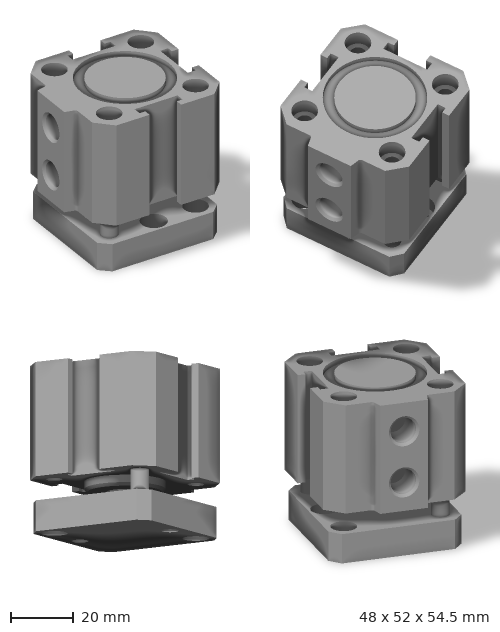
import cadquery as cq
import math

total_height = 54.5
plate_thickness = 10.05
housing_height = 37.0
housing_bottom = total_height - housing_height

housing_size = 48.0
housing_half = housing_size / 2
corner_chamfer_x = 5.65
corner_chamfer_y = 5.5

side_slot_opening = 11.9
side_slot_width = 16.2
slot_depth = 5.5
rear_slot_opening = 12.0
rear_slot_width = 16.4
slot_lip = 2.55

boss_height = 4.0
boss_tip_width = 16.0
boss_taper = math.radians(15)
boss_root_radius = 1.0
boss_face_y = -housing_half - boss_height
port_diameter = 8.55
port_rim_diameter = 10.25
port_depth = 10.9
port_end_distance = 9.75

corner_offset = 16.3
counterbore_diameter = 8.5
counterbore_depth = 5.5
bolt_hole_diameter = 5.3

recess_diameter = 33.3
cap_diameter = 26.0
recess_depth = 1.85

collar_height = 3.4
collar_chamfer = 1.0
rod_diameter = 12.0
rod_end_chamfer = 0.5
rod_flat_distance = 10.05
rod_flat_height = 2.8

plate_size_x = 44.9
plate_size_y = 45.25
plate_chamfer_x = 3.3
plate_chamfer_y = 3.6
guide_rod_diameter = 6.0
access_hole_diameter = 8.5
plate_bolt_offset = 17.1
plate_bolt_diameter = 5.5
plate_counterbore_diameter = 9.0
plate_counterbore_depth = 5.5

CORNERS = [(x, y) for x in (-corner_offset, corner_offset) for y in (-corner_offset, corner_offset)]
GUIDE_ROD_CORNERS = [(x, y) for x, y in CORNERS if x * y < 0]
ACCESS_CORNERS = [(x, y) for x, y in CORNERS if x * y > 0]


def chamfered_block(size_x, size_y, chamfer_x, chamfer_y, height):
    """Block standing on Z = 0, centred on the Z axis, with its four vertical edges cut off."""
    half_x = size_x / 2
    half_y = size_y / 2
    outline = [
        (half_x, half_y - chamfer_y),
        (half_x - chamfer_x, half_y),
        (chamfer_x - half_x, half_y),
        (-half_x, half_y - chamfer_y),
        (-half_x, chamfer_y - half_y),
        (chamfer_x - half_x, -half_y),
        (half_x - chamfer_x, -half_y),
        (half_x, chamfer_y - half_y),
    ]
    return cq.Workplane("XY").polyline(outline).close().extrude(height)


def cylinder(diameter, bottom, height, places=((0, 0),)):
    """Upright cylinders from the height `bottom` upwards, one at each place."""
    return cq.Workplane("XY", (0, 0, bottom)).pushPoints(places).circle(diameter / 2).extrude(height)


def t_slot(opening, width, angle):
    """Cutter for a full-height T-slot in the +Y face, turned about the Z axis by `angle` degrees."""
    outline = [
        (opening / 2, housing_half),
        (opening / 2, housing_half - slot_lip),
        (width / 2, housing_half - slot_lip),
        (width / 2, housing_half - slot_depth),
        (-width / 2, housing_half - slot_depth),
        (-width / 2, housing_half - slot_lip),
        (-opening / 2, housing_half - slot_lip),
        (-opening / 2, housing_half),
    ]
    slot = cq.Workplane("XY", (0, 0, housing_bottom)).polyline(outline).close().extrude(housing_height)
    return slot.rotate((0, 0, 0), (0, 0, 1), angle)


def port_boss():
    """Full-height tapered boss on the -Y face, with rounded inner corners at its root."""
    tip_half = boss_tip_width / 2
    root_half = tip_half + boss_height * math.tan(boss_taper)
    side_turn = math.pi / 2 - boss_taper
    tangent = boss_root_radius * math.tan(side_turn / 2)
    root_x = root_half + tangent
    root_y = -housing_half
    centre_y = root_y - boss_root_radius
    end_x = root_x - boss_root_radius * math.sin(side_turn)
    end_y = centre_y + boss_root_radius * math.cos(side_turn)
    middle_x = root_x - boss_root_radius * math.sin(side_turn / 2)
    middle_y = centre_y + boss_root_radius * math.cos(side_turn / 2)
    return (
        cq.Workplane("XY", (0, 0, housing_bottom))
        .moveTo(-root_x, root_y)
        .threePointArc((-middle_x, middle_y), (-end_x, end_y))
        .lineTo(-tip_half, boss_face_y)
        .lineTo(tip_half, boss_face_y)
        .lineTo(end_x, end_y)
        .threePointArc((middle_x, middle_y), (root_x, root_y))
        .close()
        .extrude(housing_height)
    )


def port(height):
    """Cutter for a flat-bottomed port with a 45 degree rim, drilled into the boss face along +Y."""
    radius = port_diameter / 2
    rim_radius = port_rim_diameter / 2
    profile = [
        (0, boss_face_y),
        (rim_radius, boss_face_y),
        (radius, boss_face_y + rim_radius - radius),
        (radius, boss_face_y + port_depth),
        (0, boss_face_y + port_depth),
    ]
    cutter = cq.Workplane("XY").polyline(profile).close().revolve(360, (0, 0, 0), (0, 1, 0))
    return cutter.translate((0, 0, height))


def mounting_holes():
    """Cutter for the counterbored through holes in the four housing corners."""
    holes = cylinder(bolt_hole_diameter, housing_bottom, housing_height, CORNERS)
    counterbores = cylinder(
        counterbore_diameter, total_height - counterbore_depth, counterbore_depth, CORNERS
    )
    return holes.union(counterbores)


def cap_recess():
    """Cutter for the ring-shaped recess that leaves the cap level with the top face."""
    floor = total_height - recess_depth
    ring = cylinder(recess_diameter, floor, recess_depth)
    return ring.cut(cylinder(cap_diameter, floor, recess_depth))


def collar():
    """Disc under the housing, chamfered around its lower edge."""
    disc = cylinder(cap_diameter, housing_bottom - collar_height, collar_height)
    return disc.faces("<Z").chamfer(collar_chamfer)


def piston_rod():
    """Rod from the collar to the plate, with a chamfered end and two wrench flats facing X."""
    rod_length = housing_bottom - collar_height - plate_thickness
    rod = cylinder(rod_diameter, plate_thickness, rod_length).faces("<Z").chamfer(rod_end_chamfer)
    flat_zone = cylinder(rod_diameter, plate_thickness, rod_flat_height)
    kept_core = cq.Workplane("XY", (0, 0, plate_thickness)).rect(rod_flat_distance, rod_diameter)
    return rod.cut(flat_zone.cut(kept_core.extrude(rod_flat_height)))


def make_housing():
    """Cylinder housing in one piece with its collar and piston rod."""
    block = chamfered_block(
        housing_size, housing_size, corner_chamfer_x, corner_chamfer_y, housing_height
    )
    body = block.translate((0, 0, housing_bottom)).union(port_boss())
    body = body.cut(t_slot(rear_slot_opening, rear_slot_width, 0))
    for angle in (90, -90):
        body = body.cut(t_slot(side_slot_opening, side_slot_width, angle))
    for height in (housing_bottom + port_end_distance, total_height - port_end_distance):
        body = body.cut(port(height))
    body = body.cut(mounting_holes()).cut(cap_recess())
    return body.union(collar()).union(piston_rod())


def make_guide_plate():
    """Plate with two guide rods that reach the housing at opposite corners."""
    plate = chamfered_block(
        plate_size_x, plate_size_y, plate_chamfer_x, plate_chamfer_y, plate_thickness
    )
    plate = plate.cut(cylinder(access_hole_diameter, 0, plate_thickness, ACCESS_CORNERS))
    bolt_places = [(-plate_bolt_offset, 0), (plate_bolt_offset, 0)]
    counterbore_floor = plate_thickness - plate_counterbore_depth
    plate = plate.cut(cylinder(plate_bolt_diameter, 0, plate_thickness, bolt_places))
    plate = plate.cut(
        cylinder(plate_counterbore_diameter, counterbore_floor, plate_counterbore_depth, bolt_places)
    )
    rod_length = housing_bottom - plate_thickness
    return plate.union(
        cylinder(guide_rod_diameter, plate_thickness, rod_length, GUIDE_ROD_CORNERS)
    )


housing = make_housing()
guide_plate = make_guide_plate()

result = cq.Compound.makeCompound([housing.val(), guide_plate.val()])